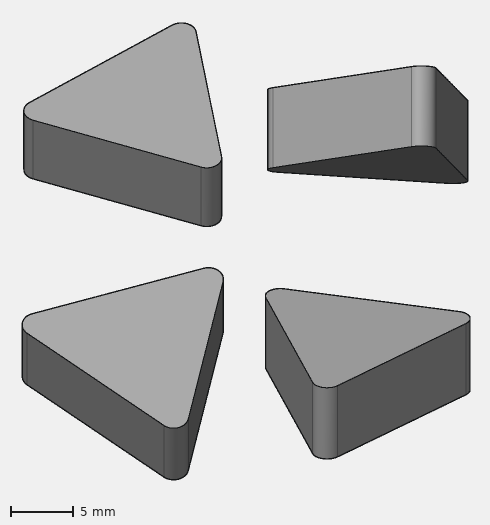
import cadquery as cq
import math

overall_width = 16.95
thickness = 6.55
corner_radius = 1.2

center_spacing = overall_width - 2 * corner_radius
sharp_side = center_spacing + 2 * math.sqrt(3) * corner_radius
sharp_height = sharp_side * math.sqrt(3) / 2

base_y = -sharp_height / 3
apex_y = 2 * sharp_height / 3
triangle = [
    (-sharp_side / 2, base_y),
    (sharp_side / 2, base_y),
    (0, apex_y),
]

result = (
    cq.Workplane("XY")
    .polyline(triangle)
    .close()
    .extrude(thickness)
    .edges("|Z")
    .fillet(corner_radius)
)